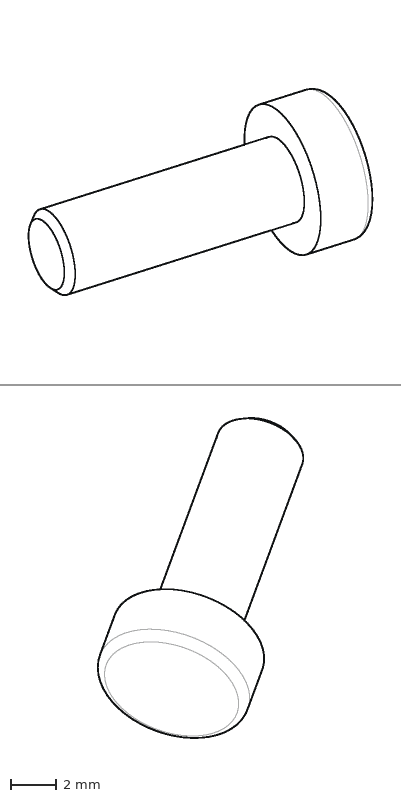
import cadquery as cq

total_length = 14.8
head_diameter = 7.0
head_height = 2.8
head_edge_radius = 0.4
shank_diameter = 4.0
tip_chamfer = 0.35

shank_length = total_length - head_height


def cylinder_along_y(diameter, y_start, y_end):
    """Solid cylinder centred on the Y axis between two Y positions."""
    start_plane = cq.Workplane("XZ", origin=(0, y_start, 0))
    return start_plane.circle(diameter / 2).extrude(y_start - y_end)


head = cylinder_along_y(head_diameter, 0, head_height)
head = head.faces(">Y").edges().fillet(head_edge_radius)

shank = cylinder_along_y(shank_diameter, -shank_length, 0)
shank = shank.faces("<Y").edges().chamfer(tip_chamfer)

result = head.union(shank)